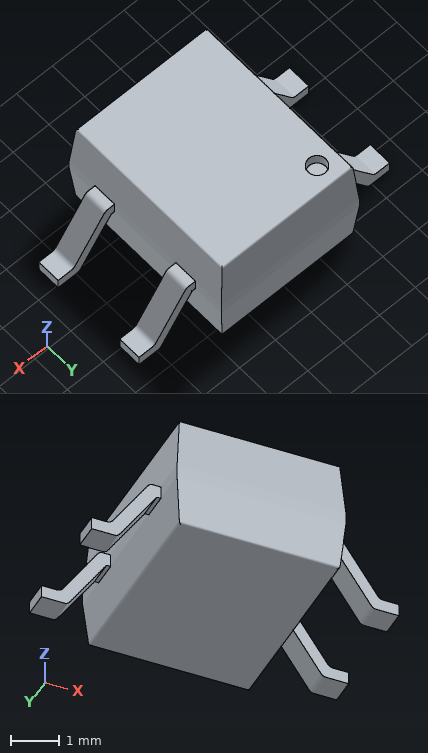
import cadquery as cq
import math

SPAN = 7.0
HEIGHT = 2.9

LEAD_THICKNESS = 0.3
LEAD_WIDTH = 0.6
LEAD_PITCH = 2.5
LEAD_ANGLE = 56.0
FOOT_TOP_LENGTH = 0.435
BEND_RADIUS = 0.15
SHOULDER_Z = 1.62

HOUSING_X = 3.85
HOUSING_Y = 4.72
STANDOFF = 0.195
TAPER_INSET = 0.1
EDGE_RADIUS = 0.05

MARK_DIAMETER = 0.48
MARK_X = -1.3
MARK_Y = 1.735
MARK_DEPTH = 0.3

BAND_BOTTOM = SHOULDER_Z - LEAD_THICKNESS
BAND_TOP = SHOULDER_Z


def tapered_half(band_z, end_z):
    """Half of the housing, narrowing from the band to its end face."""
    return (
        cq.Workplane("XY", origin=(0, 0, band_z))
        .rect(HOUSING_X, HOUSING_Y)
        .workplane(offset=end_z - band_z)
        .rect(HOUSING_X - 2 * TAPER_INSET, HOUSING_Y - 2 * TAPER_INSET)
        .loft(ruled=True)
    )


def make_housing():
    """Moulded housing with a straight band, tapered halves and a pin 1 mark."""
    band = (
        cq.Workplane("XY", origin=(0, 0, BAND_BOTTOM))
        .rect(HOUSING_X, HOUSING_Y)
        .extrude(LEAD_THICKNESS)
    )
    body = band.union(tapered_half(BAND_TOP, HEIGHT)).union(tapered_half(BAND_BOTTOM, STANDOFF))
    body = body.faces(">Z or <Z").edges().fillet(EDGE_RADIUS)
    mark = (
        cq.Workplane("XY", origin=(MARK_X, MARK_Y, HEIGHT - MARK_DEPTH))
        .circle(MARK_DIAMETER / 2)
        .extrude(MARK_DEPTH)
    )
    return body.cut(mark)


def make_lead(side, center_y):
    """Gull-wing lead butting on the housing; side is -1 for -X and +1 for +X."""
    slope = math.radians(LEAD_ANGLE)
    leg_run = (SHOULDER_Z - LEAD_THICKNESS) / math.tan(slope)
    corner_shift = LEAD_THICKNESS * math.tan(slope / 2)

    tip = SPAN / 2
    root = HOUSING_X / 2
    foot_top = tip - FOOT_TOP_LENGTH
    foot_bottom = foot_top - corner_shift
    shoulder_top = foot_top - leg_run
    shoulder_bottom = shoulder_top - corner_shift

    outline = [
        (tip, 0),
        (tip, LEAD_THICKNESS),
        (foot_top, LEAD_THICKNESS),
        (shoulder_top, SHOULDER_Z),
        (root, SHOULDER_Z),
        (root, BAND_BOTTOM),
        (shoulder_bottom, BAND_BOTTOM),
        (foot_bottom, 0),
    ]
    strip = (
        cq.Workplane("XZ", origin=(0, center_y + LEAD_WIDTH / 2, 0))
        .polyline([(side * x, z) for x, z in outline])
        .close()
        .extrude(LEAD_WIDTH)
    )
    rounded_corners = [(foot_top, LEAD_THICKNESS), (shoulder_top, SHOULDER_Z), (foot_bottom, 0)]
    for x, z in rounded_corners:
        corner_edge = cq.selectors.NearestToPointSelector((side * x, center_y, z))
        strip = strip.edges("|Y").edges(corner_edge).fillet(BEND_RADIUS)
    return strip


housing = make_housing()
leads = [
    make_lead(side, row * LEAD_PITCH / 2)
    for side in (-1, 1)
    for row in (-1, 1)
]

result = cq.Compound.makeCompound([housing.val(), *[lead.val() for lead in leads]])